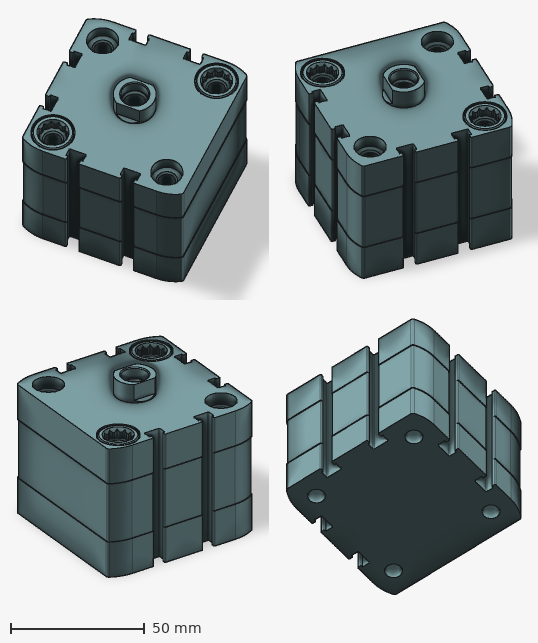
import cadquery as cq
import math

WIDTH = 65.5
HALF_WIDTH = WIDTH / 2
TOTAL_HEIGHT = 62.7
HOUSING_HEIGHT = 54.9
CAP_HEIGHT = 15.0
BARREL_INSET = 0.25

HOLE_OFFSET = 23.2
CORNER_ARC_RADIUS = 17.8
CORNER_FILLET = 1.4

SLOT_OFFSET = 11.1
SLOT_NECK_WIDTH = 5.1
SLOT_WIDTH = 6.9
SLOT_LIP = 1.8
SLOT_DEPTH = 5.05
SLOT_RADIUS = 0.4
PICK_MARGIN = 0.05

THROUGH_DIAMETER = 6.6
COUNTERSINK_DIAMETER = 8.0
COUNTERBORE_DIAMETER = 12.0
COUNTERBORE_DEPTH = 5.0

HEAD_RECESS_DIAMETER = 16.4
HEAD_DIAMETER = 15.5
HEAD_CHAMFER = 0.45
HEAD_GAP_DEPTH = 0.65
SOCKET_DEPTH = 4.6
SOCKET_POINT_RADIUS = 5.7
HEXAGON_TURN = 30
SOCKET_RIDGE_DIAMETER = 10.5
SOCKET_MOUTH_DIAMETER = COUNTERBORE_DIAMETER
SOCKET_LEAD_IN = 1.85

ROD_DIAMETER = 16.0
ROD_BOTTOM = HOUSING_HEIGHT - CAP_HEIGHT
FLATS_WIDTH = 13.0
FLATS_HEIGHT = 6.7
FLATS_RUNOUT_ANGLE = 30.0

ROD_BORE_DIAMETER = 10.5
ROD_BORE_CHAMFER = 0.4
ROD_BORE_DEPTH = 4.7
ROD_CONE_DIAMETER = 9.95
ROD_CORE_DIAMETER = 8.4
ROD_CORE_DEPTH = 13.1
DRILL_TIP_ANGLE = 118.0


def revolved(profile):
    """Solid of revolution about Z from (radius, height) points."""
    return cq.Workplane("XZ").polyline(profile).close().revolve(360, (0, 0, 0), (0, 1, 0))


def block(inset, height):
    """Square prism with arched corners, smaller by `inset` on every side."""
    half = HALF_WIDTH - inset
    radius = CORNER_ARC_RADIUS - inset
    reach = half - HOLE_OFFSET
    edge_y = half - radius + math.sqrt(radius**2 - reach**2)
    middle_angle = math.asin(reach / radius) / 2
    middle_x = HOLE_OFFSET + radius * math.sin(middle_angle)
    middle_y = half - radius + radius * math.cos(middle_angle)
    prism = (
        cq.Workplane("XY")
        .moveTo(-HOLE_OFFSET, half)
        .lineTo(HOLE_OFFSET, half)
        .threePointArc((middle_x, middle_y), (half, edge_y))
        .lineTo(half, -edge_y)
        .threePointArc((middle_x, -middle_y), (HOLE_OFFSET, -half))
        .lineTo(-HOLE_OFFSET, -half)
        .threePointArc((-middle_x, -middle_y), (-half, -edge_y))
        .lineTo(-half, edge_y)
        .threePointArc((-middle_x, middle_y), (-HOLE_OFFSET, half))
        .close()
        .extrude(height)
    )
    return prism.edges("|Z and (<X or >X)").fillet(CORNER_FILLET - inset)


def slot_cutter(inset, height):
    """T-slot opening at the +Y face of a block with the given inset, centred on X = 0."""
    face = HALF_WIDTH - inset
    neck = SLOT_NECK_WIDTH / 2
    wide = SLOT_WIDTH / 2
    mouth = neck + SLOT_RADIUS
    round_end = face - SLOT_RADIUS
    arc_offset = SLOT_RADIUS * math.sqrt(0.5)
    lip = HALF_WIDTH - SLOT_LIP
    floor = HALF_WIDTH - SLOT_DEPTH
    slot = (
        cq.Workplane("XY")
        .moveTo(-mouth, face)
        .threePointArc((-mouth + arc_offset, round_end + arc_offset), (-neck, round_end))
        .lineTo(-neck, lip)
        .lineTo(-wide, lip)
        .lineTo(-wide, floor)
        .lineTo(wide, floor)
        .lineTo(wide, lip)
        .lineTo(neck, lip)
        .lineTo(neck, round_end)
        .threePointArc((mouth - arc_offset, round_end + arc_offset), (mouth, face))
        .close()
        .extrude(height)
    )
    lip_edges = cq.selectors.BoxSelector(
        (-neck - PICK_MARGIN, lip - PICK_MARGIN, 0),
        (neck + PICK_MARGIN, lip + PICK_MARGIN, height),
    )
    slot = slot.edges("|Z").edges(lip_edges).fillet(SLOT_RADIUS)
    return slot.edges("|Z and <Y").fillet(SLOT_RADIUS)


def housing_section(inset, bottom, height):
    """One length of the housing: two slots in each of the +Y, -X and -Y sides."""
    section = block(inset, height)
    slot = slot_cutter(inset, height)
    for turn in (0, 90, 180):
        for side in (-1, 1):
            cutter = slot.translate((side * SLOT_OFFSET, 0, 0))
            section = section.cut(cutter.rotate((0, 0, 0), (0, 0, 1), turn))
    return section.translate((0, 0, bottom))


def through_hole_cutter(seat_depth):
    """Through hole on the Z axis, countersunk at the given depth below the top face."""
    floor = HOUSING_HEIGHT - seat_depth
    bore = THROUGH_DIAMETER / 2
    sink = COUNTERSINK_DIAMETER / 2
    return revolved([(0, 0), (bore, 0), (bore, floor - (sink - bore)), (sink, floor), (0, floor)])


def counterbore_cutter():
    """Flat-bottomed counterbore on the Z axis, open at the top face of the housing."""
    return (
        cq.Workplane("XY", origin=(0, 0, HOUSING_HEIGHT))
        .circle(COUNTERBORE_DIAMETER / 2)
        .extrude(-COUNTERBORE_DEPTH)
    )


def head_gap_cutter():
    """Narrow ring around a screw head, with the chamfer of the head's rim."""
    outer = HEAD_RECESS_DIAMETER / 2
    inner = HEAD_DIAMETER / 2
    top = HOUSING_HEIGHT
    return revolved([
        (inner, top - HEAD_GAP_DEPTH),
        (outer, top - HEAD_GAP_DEPTH),
        (outer, top),
        (inner - HEAD_CHAMFER, top),
        (inner, top - HEAD_CHAMFER),
    ])


def socket_cutter():
    """Twelve-point socket (two crossed hexagons with trimmed ridges) and its conical lead-in."""
    top = HOUSING_HEIGHT
    ridge = SOCKET_RIDGE_DIAMETER / 2
    mouth = SOCKET_MOUTH_DIAMETER / 2
    cone_end = top - SOCKET_LEAD_IN
    base = cq.Workplane("XY", origin=(0, 0, top - SOCKET_DEPTH))
    socket = base.circle(ridge).extrude(SOCKET_DEPTH)
    hexagon = base.polygon(6, 2 * SOCKET_POINT_RADIUS).extrude(SOCKET_DEPTH)
    for turn in (0, HEXAGON_TURN):
        socket = socket.union(hexagon.rotate((0, 0, 0), (0, 0, 1), turn))
    return socket.union(revolved([(0, cone_end), (ridge, cone_end), (mouth, top), (0, top)]))


def make_rod_blank():
    """Plain rod, seated through the depth of the top end cap."""
    return (
        cq.Workplane("XY", origin=(0, 0, ROD_BOTTOM))
        .circle(ROD_DIAMETER / 2)
        .extrude(TOTAL_HEIGHT - ROD_BOTTOM)
    )


def make_housing():
    """Two end caps and the barrel, with holes in the corners and a seat for the rod."""
    barrel_height = HOUSING_HEIGHT - 2 * CAP_HEIGHT
    housing = (
        housing_section(0, 0, CAP_HEIGHT)
        .union(housing_section(BARREL_INSET, CAP_HEIGHT, barrel_height))
        .union(housing_section(0, HOUSING_HEIGHT - CAP_HEIGHT, CAP_HEIGHT))
    )
    for x_side in (-1, 1):
        for y_side in (-1, 1):
            place = (x_side * HOLE_OFFSET, y_side * HOLE_OFFSET, 0)
            if x_side == y_side:
                housing = housing.cut(through_hole_cutter(SOCKET_DEPTH).translate(place))
                housing = housing.cut(head_gap_cutter().translate(place))
                housing = housing.cut(socket_cutter().translate(place))
            else:
                housing = housing.cut(through_hole_cutter(COUNTERBORE_DEPTH).translate(place))
                housing = housing.cut(counterbore_cutter().translate(place))
    return housing.cut(make_rod_blank())


def flat_cutter():
    """Wrench flat on the +Y side, ending in a sloping run-out."""
    flat = FLATS_WIDTH / 2
    outside = ROD_DIAMETER
    flat_bottom = TOTAL_HEIGHT - FLATS_HEIGHT
    drop = (outside - flat) * math.tan(math.radians(FLATS_RUNOUT_ANGLE))
    return (
        cq.Workplane("YZ")
        .polyline([
            (flat, TOTAL_HEIGHT),
            (flat, flat_bottom),
            (outside, flat_bottom - drop),
            (outside, TOTAL_HEIGHT),
        ])
        .close()
        .extrude(ROD_DIAMETER, both=True)
    )


def rod_bore_cutter():
    """Chamfered bore stepping down by a ledge and a cone to a drilled core hole."""
    top = TOTAL_HEIGHT
    bore = ROD_BORE_DIAMETER / 2
    cone = ROD_CONE_DIAMETER / 2
    core = ROD_CORE_DIAMETER / 2
    tip_height = core / math.tan(math.radians(DRILL_TIP_ANGLE / 2))
    return revolved([
        (0, top),
        (bore + ROD_BORE_CHAMFER, top),
        (bore, top - ROD_BORE_CHAMFER),
        (bore, top - ROD_BORE_DEPTH),
        (cone, top - ROD_BORE_DEPTH),
        (core, top - ROD_BORE_DEPTH - (cone - core)),
        (core, top - ROD_CORE_DEPTH),
        (0, top - ROD_CORE_DEPTH - tip_height),
    ])


def make_rod():
    """Rod with a threaded-hole bore and two opposite wrench flats."""
    rod = make_rod_blank().cut(rod_bore_cutter())
    for turn in (0, 180):
        rod = rod.cut(flat_cutter().rotate((0, 0, 0), (0, 0, 1), turn))
    return rod


housing = make_housing()
rod = make_rod()
result = cq.Compound.makeCompound([housing.solids().val(), rod.solids().val()])